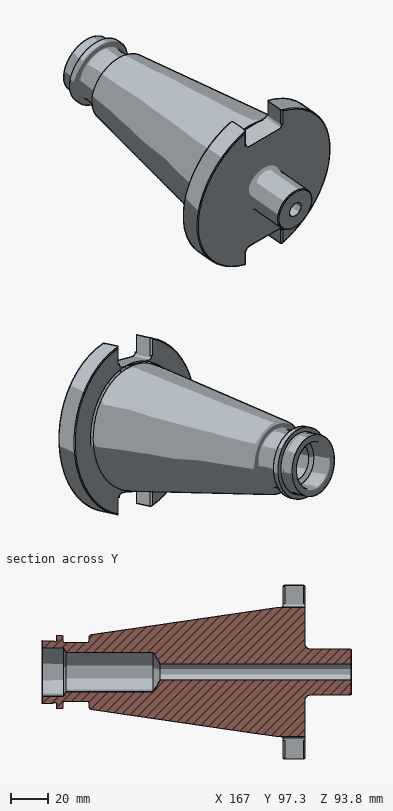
import cadquery as cq
import math

overall_length = 167.0

gauge_diameter = 69.85
gauge_x = 126.8
taper_ratio = 7 / 24
taper_start_x = 25.1
taper_nose_radius = 2.0

tip_diameter = 34.0
collar_diameter = 39.6
collar_start_x = 7.8
collar_end_x = 11.5
collar_round = 0.8
neck_diameter = 32.0
neck_fillet = 0.7

relief_width = 2.0
relief_depth = 0.3
relief_face_depth = 0.1
relief_radius = 0.6
relief_angle = 15.0

flange_diameter = 97.3
flange_start_x = 130.0
flange_thickness = 12.0
flange_chamfer = 0.5
flange_fillet = 1.0
slot_width = 25.7
slot_floor_z = 35.0
slot_corner_radius = 2.0
slot_chamfer = 1.0
slot_cut_clearance = 1.0

spigot_diameter = 25.0
spigot_fillet = 3.0
spigot_chamfer = 0.5

through_diameter = 8.5
thread_core_diameter = 21.0
thread_core_depth = 60.0
drill_point_angle = 118.0
pilot_diameter = 26.0
pilot_depth = 11.5
pilot_seat_angle = 120.0
entry_round = 0.9

flange_end_x = flange_start_x + flange_thickness
taper_half_angle = math.atan(taper_ratio / 2)


def taper_radius(x):
    return (gauge_diameter - taper_ratio * (gauge_x - x)) / 2


def cone_length(large_diameter, small_diameter, included_angle):
    return (large_diameter - small_diameter) / 2 / math.tan(math.radians(included_angle / 2))


def concave_quarter(center_x, center_r, radius, side_x):
    """Mid-point of a fillet arc whose centre lies outside the material; side_x (+1 or -1) picks its half."""
    offset = radius * math.sqrt(0.5)
    return (center_x + side_x * offset, center_r - offset)


def turned_body():
    tip_r = tip_diameter / 2
    collar_r = collar_diameter / 2
    neck_r = neck_diameter / 2
    gauge_r = gauge_diameter / 2
    flange_r = flange_diameter / 2
    spigot_r = spigot_diameter / 2

    relief_floor_r = tip_r - relief_depth
    relief_start_x = collar_start_x - relief_width
    relief_ramp_length = relief_depth / math.tan(math.radians(relief_angle))
    relief_face_height = relief_face_depth / math.tan(math.radians(relief_angle))
    relief_end_x = collar_start_x + relief_face_depth
    relief_arc_x = relief_end_x - relief_radius
    relief_arc_r = relief_floor_r + relief_radius

    collar_arc_x = collar_end_x - collar_round
    collar_arc_r = collar_r - collar_round
    collar_arc_offset = collar_round * math.sqrt(0.5)

    nose_arc_x = taper_start_x + taper_nose_radius
    nose_arc_r = taper_radius(nose_arc_x) - taper_nose_radius / math.cos(taper_half_angle)
    nose_end_angle = math.pi / 2 + taper_half_angle
    nose_mid_angle = (math.pi + nose_end_angle) / 2

    def nose_point(angle):
        return (
            nose_arc_x + taper_nose_radius * math.cos(angle),
            nose_arc_r + taper_nose_radius * math.sin(angle),
        )

    neck_front_x = collar_end_x + neck_fillet
    neck_rear_x = taper_start_x - neck_fillet
    neck_arc_r = neck_r + neck_fillet
    flange_arc_x = flange_start_x - flange_fillet
    flange_arc_r = gauge_r + flange_fillet
    spigot_arc_x = flange_end_x + spigot_fillet
    spigot_arc_r = spigot_r + spigot_fillet

    profile = (
        cq.Workplane("XZ")
        .moveTo(0, 0)
        .lineTo(0, tip_r)
        .lineTo(relief_start_x, tip_r)
        .lineTo(relief_start_x + relief_ramp_length, relief_floor_r)
        .lineTo(relief_arc_x, relief_floor_r)
        .threePointArc(
            concave_quarter(relief_arc_x, relief_arc_r, relief_radius, 1),
            (relief_end_x, relief_arc_r),
        )
        .lineTo(collar_start_x, relief_arc_r + relief_face_height)
        .lineTo(collar_start_x, collar_r)
        .lineTo(collar_arc_x, collar_r)
        .threePointArc(
            (collar_arc_x + collar_arc_offset, collar_arc_r + collar_arc_offset),
            (collar_end_x, collar_arc_r),
        )
        .lineTo(collar_end_x, neck_arc_r)
        .threePointArc(
            concave_quarter(neck_front_x, neck_arc_r, neck_fillet, -1),
            (neck_front_x, neck_r),
        )
        .lineTo(neck_rear_x, neck_r)
        .threePointArc(
            concave_quarter(neck_rear_x, neck_arc_r, neck_fillet, 1),
            (taper_start_x, neck_arc_r),
        )
        .lineTo(taper_start_x, nose_arc_r)
        .threePointArc(nose_point(nose_mid_angle), nose_point(nose_end_angle))
        .lineTo(gauge_x, gauge_r)
        .lineTo(flange_arc_x, gauge_r)
        .threePointArc(
            concave_quarter(flange_arc_x, flange_arc_r, flange_fillet, 1),
            (flange_start_x, flange_arc_r),
        )
        .lineTo(flange_start_x, flange_r - flange_chamfer)
        .lineTo(flange_start_x + flange_chamfer, flange_r)
        .lineTo(flange_end_x - flange_chamfer, flange_r)
        .lineTo(flange_end_x, flange_r - flange_chamfer)
        .lineTo(flange_end_x, spigot_arc_r)
        .threePointArc(
            concave_quarter(spigot_arc_x, spigot_arc_r, spigot_fillet, -1),
            (spigot_arc_x, spigot_r),
        )
        .lineTo(overall_length - spigot_chamfer, spigot_r)
        .lineTo(overall_length, spigot_r - spigot_chamfer)
        .lineTo(overall_length, 0)
        .close()
    )
    return profile.revolve(360, (0, 0, 0), (1, 0, 0))


def drawbar_bore():
    pilot_r = pilot_diameter / 2
    entry_r = pilot_r + entry_round
    entry_mid_offset = entry_round * (1 - math.sqrt(0.5))
    seat_end_x = pilot_depth + cone_length(pilot_diameter, thread_core_diameter, pilot_seat_angle)
    drill_end_x = thread_core_depth + cone_length(thread_core_diameter, through_diameter, drill_point_angle)
    profile = (
        cq.Workplane("XZ")
        .moveTo(0, 0)
        .lineTo(0, entry_r)
        .threePointArc((entry_mid_offset, pilot_r + entry_mid_offset), (entry_round, pilot_r))
        .lineTo(pilot_depth, pilot_r)
        .lineTo(seat_end_x, thread_core_diameter / 2)
        .lineTo(thread_core_depth, thread_core_diameter / 2)
        .lineTo(drill_end_x, through_diameter / 2)
        .lineTo(overall_length, through_diameter / 2)
        .lineTo(overall_length, 0)
        .close()
    )
    return profile.revolve(360, (0, 0, 0), (1, 0, 0))


def drive_slot():
    """Cutter for the +Z slot: rounded floor corners, side walls flared at both flange faces."""
    slot_top_z = flange_diameter / 2 + slot_cut_clearance
    height = slot_top_z - slot_floor_z
    slot = (
        cq.Workplane("XY")
        .box(flange_thickness, slot_width, height, centered=(False, True, False))
        .translate((flange_start_x, 0, slot_floor_z))
        .edges("|X and <Z")
        .fillet(slot_corner_radius)
    )
    half_width = slot_width / 2
    flare_half_width = half_width + slot_chamfer
    flare = (
        cq.Workplane("XY", origin=(0, 0, slot_floor_z + slot_corner_radius))
        .moveTo(flange_start_x, -flare_half_width)
        .lineTo(flange_start_x, flare_half_width)
        .lineTo(flange_start_x + slot_chamfer, half_width)
        .lineTo(flange_end_x - slot_chamfer, half_width)
        .lineTo(flange_end_x, flare_half_width)
        .lineTo(flange_end_x, -flare_half_width)
        .lineTo(flange_end_x - slot_chamfer, -half_width)
        .lineTo(flange_start_x + slot_chamfer, -half_width)
        .close()
        .extrude(height - slot_corner_radius)
    )
    return slot.union(flare)


result = turned_body().cut(drawbar_bore())
for slot_angle in (0, 180):
    result = result.cut(drive_slot().rotate((0, 0, 0), (1, 0, 0), slot_angle))